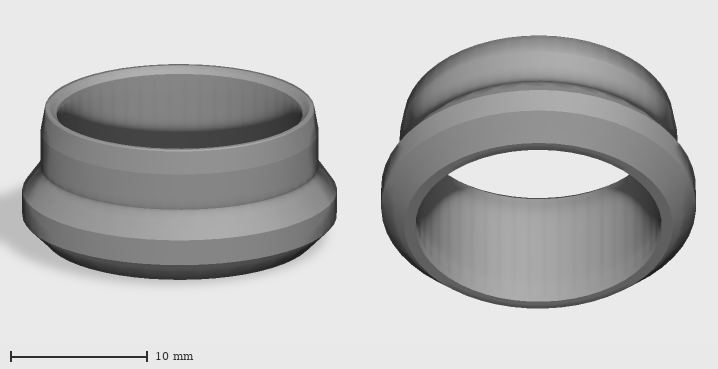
import cadquery as cq

bore_diameter = 18.0
collar_diameter = 23.0
neck_diameter = 20.3
tip_diameter = 19.7
base_diameter = 19.65
rim_diameter = 19.57
mouth_diameter = 19.0

collar_bottom = 1.7
collar_top = 3.6
shoulder_top = 5.52
taper_start = 8.23
height = 10.0
rim_chamfer_height = 0.1
mouth_depth = (mouth_diameter - bore_diameter) / 2

profile = [
    (bore_diameter / 2, 0),
    (base_diameter / 2, 0),
    (collar_diameter / 2, collar_bottom),
    (collar_diameter / 2, collar_top),
    (neck_diameter / 2, shoulder_top),
    (neck_diameter / 2, taper_start),
    (tip_diameter / 2, height - rim_chamfer_height),
    (rim_diameter / 2, height),
    (mouth_diameter / 2, height),
    (bore_diameter / 2, height - mouth_depth),
]

result = cq.Workplane("XZ").polyline(profile).close().revolve(360, (0, 0), (0, 1))